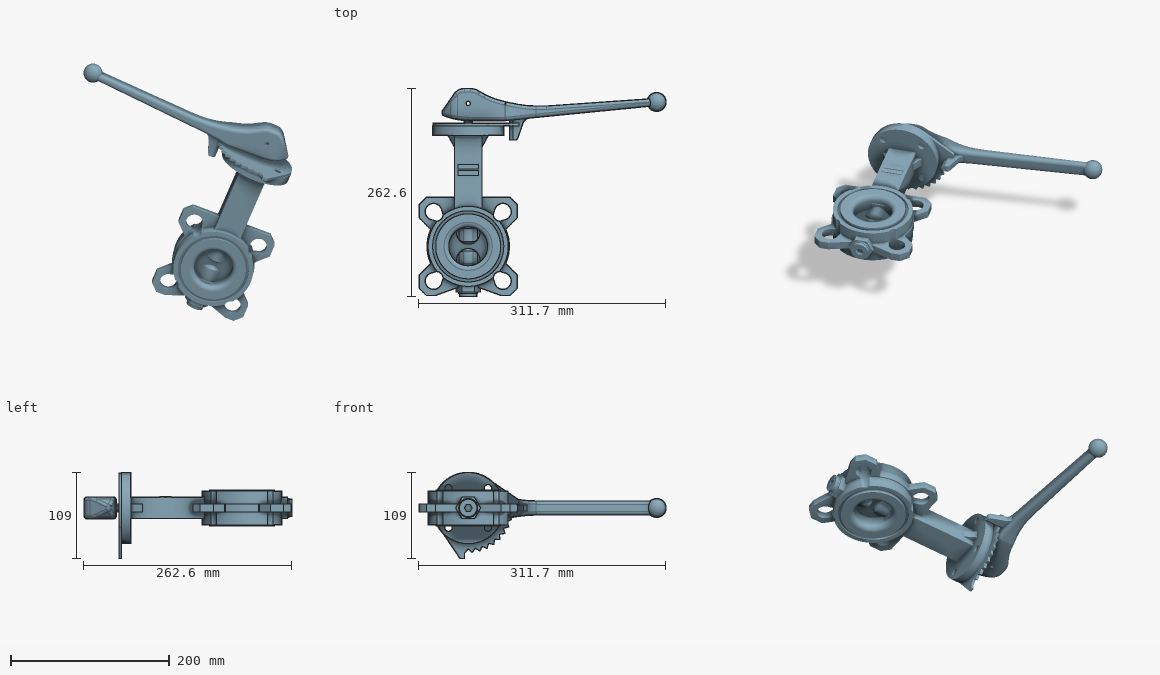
import cadquery as cq
import math


ring_radius = 50.5
ring_height = 42.5
seat_radius = 82.0 / 2
seat_height = 45.2
seat_groove_radius = 45.0
seat_groove_depth = 3.0
bore_radius = 49.0 / 2
bore_rounding = 6.0
root_y = 33.7

disc_half_thickness = 2.2
hub_ridge_radius = 9.7
hub_ridge_half_width = 6.2
hub_flank_half_width = 12.0
hub_foot_half_width = 14.7
hub_foot_height = 1.0
hub_outer_y = 22.5
hub_nose_radius = 15.0
hub_nose_center_y = 17.5
bore_flat_half_height = 12.5

lug_half_span = 62.0
lug_thickness = 10.3
lug_chamfer = 9.5
lug_flank_y = 36.2
lug_root_x = 47.7
lug_web_radius = 52.0
lug_bottom_x = 41.2
lug_plug_x = 9.5
lug_plug_y = 50.5
bolt_center = 43.7
bolt_diameter = 21.0
bolt_relief_center = 40.0
bolt_relief_diameter = 16.0

plug_across_flats = 27.0
plug_hex_end_y = -57.7
plug_collar_diameter = 24.0
plug_collar_length = 1.5
plug_tip_diameter = 22.0
plug_end_y = -63.3
plug_socket_width = 9.7
plug_socket_depth = 4.7

neck_width = 35.0
neck_thickness = 27.0
flange_radius = 90.0 / 2
flange_bottom_y = 140.0
flange_top_y = 152.0
gusset_half_span = 25.5
gusset_bottom_y = 125.5
mount_hole_diameter = 9.0
mount_hole_offset = 25.0
nameplate_width = 26.0
nameplate_height = 1.0
nameplate_spans = [(89.2, 95.8), (97.3, 103.2)]

plate_top_y = 155.3
plate_radius = 44.3
notch_root_radius = 51.8
notch_tip_radius = 56.5
notch_pitch = 10.0
notch_range = 90.0
stop_face = 4.5
stop_shoulder = 56.8
stop_reach = 64.0
stop_width = 6.0

lever_bottom_y = 158.5
lever_top_y = 199.3
lever_half_width = 14.0
grip_half_width = 9.0
lever_rounding = 4.5
crown_back_x = -4.5
crown_back_middle = (-12.2, 197.5)
crown_front_x = 3.0
crown_front_middle = (7.2, 198.7)
shoulder_top = (11.0, 197.5)
shoulder_bottom = (21.5, 191.5)
head_end_top_y = 182.5
cheek_top_y = 191.5
waist_top_y = 179.0
belly_middle = (-16.2, 160.3)
belly_end = (-31.8, 165.0)
cheek_x = -18.5
cheek_rounding = 15.5
nose_x = -34.0
nose_y = 169.0
nose_half_width = 2.8
waist_x = 64.0
waist_half_width = 10.5
head_end_x = 46.8
grip_start_x = 85.5
grip_top_y = 177.2
grip_bottom_y = 162.5
grip_bend_x = 98.5
grip_end_top_y = 186.8
grip_end_bottom_y = 177.5
knob_diameter = 24.0
knob_x = 237.7
knob_y = 182.0
pin_hole_diameter = 5.0
pin_hole_y = 180.3
stem_square = 10.5
stem_diameter = 12.0
stem_root_y = 162.2
catch_tip_x = 52.0
catch_wedge_x = 56.8
catch_half_width = 4.0
catch_bottom_y = 134.0
catch_toe_x = 60.8
catch_heel = (62.7, 136.5)
catch_back = (70.0, 157.2)
catch_root = (74.0, 161.0)
catch_root_y = 163.8


def box(x0, x1, y0, y1, half_z):
    """Box centred on Z = 0."""
    center = ((x0 + x1) / 2, (y0 + y1) / 2, 0)
    return cq.Workplane("XY").box(x1 - x0, y1 - y0, 2 * half_z).translate(center)


def slab(sketch, thickness):
    """Closed XY outline extruded symmetrically about Z = 0."""
    return sketch.extrude(thickness / 2, both=True)


def rod_along_y(diameter, y0, y1):
    return cq.Workplane("XZ", origin=(0, y0, 0)).circle(diameter / 2).extrude(-(y1 - y0))


def make_lugs():
    corner = lug_half_span - lug_chamfer
    right_side = [
        (corner, lug_half_span),
        (lug_half_span, corner),
        (lug_half_span, lug_flank_y),
        (lug_root_x, lug_flank_y - (lug_half_span - lug_root_x)),
        (lug_root_x, -lug_flank_y + (lug_half_span - lug_root_x)),
        (lug_half_span, -lug_flank_y),
        (lug_half_span, -corner),
        (corner, -lug_half_span),
        (lug_bottom_x, -lug_half_span),
        (lug_plug_x, -lug_plug_y),
    ]
    left_side = [(-x, y) for x, y in reversed(right_side)]
    lugs = slab(cq.Workplane("XY").polyline(right_side + left_side).close(), lug_thickness)
    return lugs.union(slab(cq.Workplane("XY").circle(lug_web_radius), lug_thickness))


def make_ring():
    """Ring with raised seat faces, each inside a shallow groove."""
    ring = slab(cq.Workplane("XY").circle(ring_radius), ring_height)
    groove = cq.Workplane("XY").circle(seat_groove_radius).extrude(seat_groove_depth)
    groove = groove.translate((0, 0, ring_height / 2 - seat_groove_depth))
    ring = ring.cut(groove).cut(groove.mirror("XY"))
    return ring.union(slab(cq.Workplane("XY").circle(seat_radius), seat_height))


def cut_bore(body):
    body = body.cut(slab(cq.Workplane("XY").circle(bore_radius), seat_height))
    mouth = cq.selectors.BoxSelector(
        (-root_y, -root_y, -seat_height),
        (root_y, root_y, seat_height),
        boundingbox=True,
    )
    return body.edges("%CIRCLE").edges(mouth).fillet(bore_rounding)


def make_disc():
    """Closed disc carrying a ridged, round-nosed hub at each end of the stem axis."""
    disc = slab(cq.Workplane("XY").circle(bore_radius), 2 * disc_half_thickness)
    foot_z = disc_half_thickness + hub_foot_height
    ridge_z = math.sqrt(hub_ridge_radius**2 - hub_ridge_half_width**2)
    half_ridge = (
        cq.Workplane("XZ")
        .moveTo(-hub_foot_half_width, 0)
        .lineTo(-hub_foot_half_width, disc_half_thickness)
        .lineTo(-hub_flank_half_width, foot_z)
        .lineTo(-hub_ridge_half_width, ridge_z)
        .threePointArc((0, hub_ridge_radius), (hub_ridge_half_width, ridge_z))
        .lineTo(hub_flank_half_width, foot_z)
        .lineTo(hub_foot_half_width, disc_half_thickness)
        .lineTo(hub_foot_half_width, 0)
        .close()
        .extrude(-hub_outer_y)
    )
    nose = cq.Workplane("XY").sphere(hub_nose_radius).translate((0, hub_nose_center_y, 0))
    nose = nose.union(rod_along_y(2 * hub_nose_radius, hub_nose_center_y, hub_outer_y))
    hub = half_ridge.union(half_ridge.mirror("XY")).intersect(nose)
    return disc.union(hub).union(hub.mirror("XZ"))


def make_bore_flats():
    """Flat-faced segments that fill the bore wall behind both hubs."""
    core = slab(cq.Workplane("XY").circle(bore_radius), 2 * bore_flat_half_height)
    return core.cut(box(-bore_radius, bore_radius, -hub_outer_y, hub_outer_y, bore_flat_half_height))


def make_plug():
    hexagon = cq.Workplane("XZ").polygon(6, plug_across_flats / math.cos(math.pi / 6))
    plug = hexagon.extrude(-plug_hex_end_y)
    plug = plug.union(rod_along_y(plug_collar_diameter, plug_hex_end_y - plug_collar_length, plug_hex_end_y))
    plug = plug.union(rod_along_y(plug_tip_diameter, plug_end_y, plug_hex_end_y))
    socket = cq.Workplane("XZ", origin=(0, plug_end_y, 0)).polygon(6, plug_socket_width)
    plug = plug.cut(socket.extrude(-plug_socket_depth))
    return plug.intersect(box(-plug_across_flats, plug_across_flats, plug_end_y, -root_y, plug_across_flats))


def make_neck():
    neck = box(-neck_width / 2, neck_width / 2, root_y, flange_bottom_y, neck_thickness / 2)
    gussets = cq.Workplane("XY").polyline([
        (-gusset_half_span, flange_bottom_y),
        (gusset_half_span, flange_bottom_y),
        (neck_width / 2, gusset_bottom_y),
        (-neck_width / 2, gusset_bottom_y),
    ]).close()
    neck = neck.union(slab(gussets, lug_thickness))
    for y0, y1 in nameplate_spans:
        nameplate = cq.Workplane("XY").rect(nameplate_width, y1 - y0).extrude(nameplate_height)
        neck = neck.union(nameplate.translate((0, (y0 + y1) / 2, neck_thickness / 2)))
    return neck


def polar(radius, degrees):
    angle = math.radians(degrees)
    return (radius * math.cos(angle), radius * math.sin(angle))


def make_notched_plate():
    """Plate in XZ, symmetric about the line Z = -X, with notches between two stops."""
    stop_outer = stop_face + stop_width
    upper_tip_angle = math.degrees(math.atan2(stop_outer, stop_reach))
    tip_distance = math.hypot(stop_reach, stop_outer)
    upper_tangent_angle = upper_tip_angle + math.degrees(math.acos(plate_radius / tip_distance))
    lower_tangent_angle = -notch_range - upper_tangent_angle
    arc_middle_angle = 135

    notches = []
    notch_count = round(notch_range / notch_pitch)
    for i in range(notch_count):
        notches.append(polar(notch_root_radius, -i * notch_pitch))
        notches.append(polar(notch_tip_radius, -(i + 0.5) * notch_pitch))
    notches.append(polar(notch_root_radius, -notch_range))

    outline = (
        cq.Workplane("XZ", origin=(0, flange_top_y, 0))
        .moveTo(*polar(plate_radius, lower_tangent_angle))
        .threePointArc(polar(plate_radius, arc_middle_angle), polar(plate_radius, upper_tangent_angle))
        .lineTo(stop_reach, stop_outer)
        .lineTo(stop_reach, stop_face)
        .lineTo(stop_shoulder, stop_face)
    )
    for point in notches:
        outline = outline.lineTo(*point)
    outline = (
        outline
        .lineTo(-stop_face, -stop_shoulder)
        .lineTo(-stop_face, -stop_reach)
        .lineTo(-stop_outer, -stop_reach)
        .close()
    )
    return outline.extrude(flange_top_y - plate_top_y)


def mount_hole(sign_x, sign_z, y0, y1):
    hole = rod_along_y(mount_hole_diameter, y0, y1)
    return hole.translate((sign_x * mount_hole_offset, 0, sign_z * mount_hole_offset))


def make_flange():
    """Round top flange with four holes; the plate on it leaves two of them open."""
    flange = rod_along_y(2 * flange_radius, flange_bottom_y, flange_top_y)
    plate = make_notched_plate()
    for sign_x in (1, -1):
        for sign_z in (1, -1):
            flange = flange.cut(mount_hole(sign_x, sign_z, flange_bottom_y, flange_top_y))
        plate = plate.cut(mount_hole(sign_x, sign_x, flange_top_y, plate_top_y))
    return flange.union(plate)


def cut_bolt_holes(body):
    """Four lug holes, each with a smaller relief that grooves the ring."""
    for center, diameter in ((bolt_center, bolt_diameter), (bolt_relief_center, bolt_relief_diameter)):
        holes = cq.Workplane("XY").rect(2 * center, 2 * center, forConstruction=True).vertices()
        body = body.cut(slab(holes.circle(diameter / 2), seat_height))
    return body


def make_housing():
    body = make_ring().union(make_lugs())
    body = cut_bolt_holes(cut_bore(body))
    features = [make_plug(), make_neck(), make_flange(), make_disc(), make_bore_flats()]
    for feature in features:
        body = body.union(feature)
    return body


def make_lever_bar():
    """Side outline in XY crossed with a plan outline in XZ, with all edges rounded."""
    shoulder_direction = (shoulder_bottom[0] - shoulder_top[0], shoulder_bottom[1] - shoulder_top[1])
    side = (
        cq.Workplane("XY")
        .moveTo(crown_back_x, lever_top_y)
        .lineTo(crown_front_x, lever_top_y)
        .threePointArc(crown_front_middle, shoulder_top)
        .lineTo(*shoulder_bottom)
        .spline(
            [(head_end_x, head_end_top_y), (waist_x, waist_top_y), (grip_start_x, grip_top_y)],
            tangents=[shoulder_direction, (1, 0)],
            includeCurrent=True,
        )
        .lineTo(grip_bend_x, grip_top_y)
        .lineTo(knob_x, grip_end_top_y)
        .lineTo(knob_x, grip_end_bottom_y)
        .lineTo(grip_start_x, grip_bottom_y)
        .lineTo(head_end_x, lever_bottom_y)
        .lineTo(0, lever_bottom_y)
        .threePointArc(belly_middle, belly_end)
        .lineTo(nose_x, nose_y)
        .lineTo(cheek_x, cheek_top_y)
        .threePointArc(crown_back_middle, (crown_back_x, lever_top_y))
        .close()
    )
    plan = (
        cq.Workplane("XZ")
        .moveTo(knob_x, grip_half_width)
        .lineTo(grip_start_x, grip_half_width)
        .threePointArc((waist_x, waist_half_width), (head_end_x, lever_half_width))
        .lineTo(cheek_x, lever_half_width)
        .lineTo(nose_x, nose_half_width)
        .lineTo(nose_x, -nose_half_width)
        .lineTo(cheek_x, -lever_half_width)
        .lineTo(head_end_x, -lever_half_width)
        .threePointArc((waist_x, -waist_half_width), (grip_start_x, -grip_half_width))
        .lineTo(knob_x, -grip_half_width)
        .close()
        .extrude(-lever_top_y)
    )
    cheeks = cq.selectors.BoxSelector(
        (cheek_x - 3, 0, -lever_top_y),
        (cheek_x + 3, lever_top_y, lever_top_y),
    )
    plan = plan.edges("|Y").edges(cheeks).fillet(cheek_rounding)
    return slab(side, 4 * lever_half_width).intersect(plan).edges().fillet(lever_rounding)


def make_catch():
    """Finger below the lever, pointed in plan to enter one notch of the plate."""
    side = cq.Workplane("XY").polyline([
        (catch_tip_x, catch_root_y),
        (catch_tip_x, catch_bottom_y),
        (catch_toe_x, catch_bottom_y),
        catch_heel,
        catch_back,
        catch_root,
        (catch_root[0], catch_root_y),
    ]).close()
    plan = cq.Workplane("XZ").polyline([
        (catch_tip_x, 0),
        (catch_wedge_x, catch_half_width),
        (knob_x, catch_half_width),
        (knob_x, -catch_half_width),
        (catch_wedge_x, -catch_half_width),
    ]).close()
    return slab(side, 2 * catch_half_width).intersect(plan.extrude(-lever_top_y))


def make_stem():
    """Square stem with rounded corners, standing on the notched plate."""
    square = box(-stem_square / 2, stem_square / 2, plate_top_y, stem_root_y, stem_square / 2)
    return square.intersect(rod_along_y(stem_diameter, plate_top_y, stem_root_y))


def make_lever():
    lever = make_lever_bar().union(make_catch()).union(make_stem())
    pin_hole = cq.Workplane("XY").circle(pin_hole_diameter / 2)
    lever = lever.cut(slab(pin_hole, 2 * lever_half_width).translate((0, pin_hole_y, 0)))
    return lever.union(cq.Workplane("XY").sphere(knob_diameter / 2).translate((knob_x, knob_y, 0)))


housing = make_housing()
lever = make_lever()
result = cq.Compound.makeCompound([housing.solids().val(), lever.solids().val()])